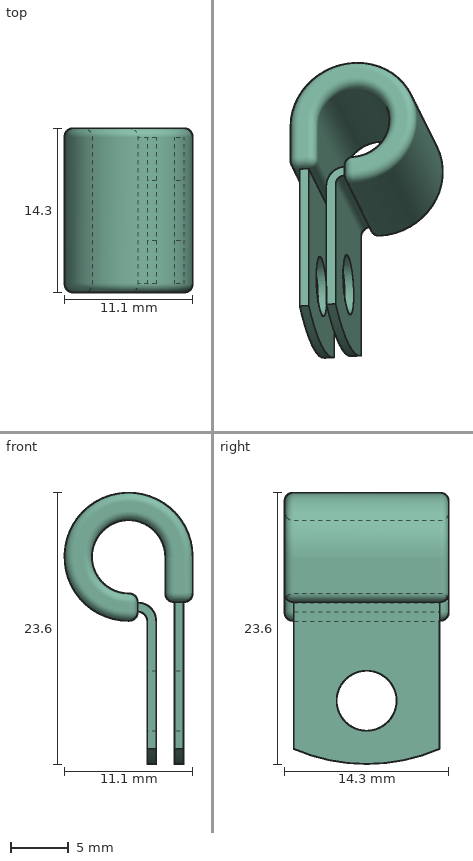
import cadquery as cq
import math

sheet = 0.8
bore_diameter = 6.35
strap_width = 12.69
edge_round = 0.78
cushion_leg_length = 3.94
loop_height = 23.58
tolerance = 0.002
hole_radius = 2.6
hole_drop = 12.5
tab_end_bulge = 1.32

bore_radius = bore_diameter / 2
strap_inner = bore_radius + sheet
strap_outer = strap_inner + sheet
cushion_outer = strap_outer + sheet
cushion_width = strap_width + 2 * sheet
tab_bottom = cushion_outer - loop_height
tab_corner = tab_bottom + tab_end_bulge
bend_inner = sheet
bend_outer = bend_inner + sheet
bend_x = sheet
bend_z = -strap_inner - bend_outer
diagonal = math.sqrt(0.5)


def extrude_centred(profile, width):
    return profile.extrude(width / 2, both=True)


def make_cushion():
    """Rubber sleeve: three-quarter ring with two straight rounded ends."""
    outer_mid = -cushion_outer * diagonal
    inner_mid = -bore_radius * diagonal
    profile = (
        cq.Workplane("XZ")
        .moveTo(cushion_outer, -cushion_leg_length)
        .lineTo(cushion_outer, 0)
        .threePointArc((outer_mid, -outer_mid), (0, -cushion_outer))
        .lineTo(sheet, -cushion_outer)
        .lineTo(sheet, -bore_radius)
        .lineTo(0, -bore_radius)
        .threePointArc((inner_mid, -inner_mid), (bore_radius, 0))
        .lineTo(bore_radius, -cushion_leg_length)
        .close()
    )
    sleeve = extrude_centred(profile, cushion_width)
    end_edges = sleeve.faces("<Y or >Y").edges()
    tip_edges = sleeve.edges("|Y").filter(is_sleeve_tip)
    return sleeve.newObject(end_edges.vals() + tip_edges.vals()).fillet(edge_round)


def is_sleeve_tip(edge):
    """True for the corners at the free ends, false for tangent seams."""
    centre = edge.Center()
    on_short_end = abs(centre.x - sheet) < tolerance
    on_leg_end = abs(centre.z + cushion_leg_length) < tolerance
    return on_short_end or on_leg_end


def make_strap():
    """Sheet strap: long tab, loop, reverse bend and short tab."""
    outer_mid = -strap_outer * diagonal
    inner_mid = -strap_inner * diagonal
    profile = (
        cq.Workplane("XZ")
        .moveTo(strap_outer, tab_bottom)
        .lineTo(strap_outer, 0)
        .threePointArc((outer_mid, -outer_mid), (0, -strap_outer))
        .lineTo(bend_x, -strap_outer)
        .threePointArc(
            (bend_x + bend_inner * diagonal, bend_z + bend_inner * diagonal),
            (bend_x + bend_inner, bend_z),
        )
        .lineTo(bend_x + bend_inner, tab_bottom)
        .lineTo(bend_x + bend_outer, tab_bottom)
        .lineTo(bend_x + bend_outer, bend_z)
        .threePointArc(
            (bend_x + bend_outer * diagonal, bend_z + bend_outer * diagonal),
            (bend_x, -strap_inner),
        )
        .lineTo(0, -strap_inner)
        .threePointArc((inner_mid, -inner_mid), (strap_inner, 0))
        .lineTo(strap_inner, tab_bottom)
        .close()
    )
    strap = extrude_centred(profile, strap_width)

    half_width = strap_width / 2
    tab_shape = (
        cq.Workplane("YZ")
        .moveTo(-half_width, cushion_outer)
        .lineTo(-half_width, tab_corner)
        .threePointArc((0, tab_bottom), (half_width, tab_corner))
        .lineTo(half_width, cushion_outer)
        .close()
    )
    return strap.intersect(extrude_centred(tab_shape, 2 * cushion_outer))


def make_bolt_hole():
    """Cutter through both tabs along X."""
    circle = cq.Workplane("YZ").center(0, -hole_drop).circle(hole_radius)
    return extrude_centred(circle, 2 * cushion_outer)


result = make_cushion().union(make_strap()).cut(make_bolt_hole())